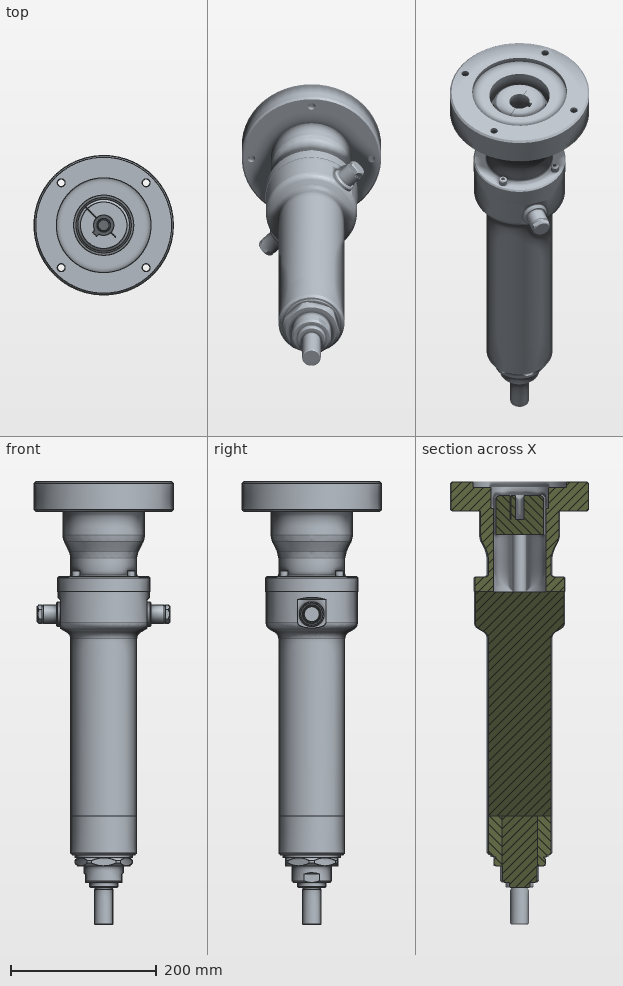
import cadquery as cq
import math


OVERALL_HEIGHT = 608.0
STUD_RELIEF_BOTTOM = 48.0
STUD_TOP = 51.0
ROD_STEP_BOTTOM = 58.0
CAP_BOTTOM = 80.0
HEX_TOP = 92.5
CAP_SHOULDER = 95.5
CAP_TOP = 149.0
SHOULDER_BOTTOM = 399.0
SHOULDER_TOP = 409.0
FITTING_LEVEL = 426.5
HEAD_TOP = 457.5
LANTERN_FOOT_TOP = 478.0
NECK_CONE_BOTTOM = 508.5
NECK_CONE_TOP = 530.5
FLANGE_BOTTOM = 567.5
HUB_BOTTOM = 535.0
BEARING_SHAFT_TOP = 556.5

FLANGE_DIAMETER = 191.5
FLANGE_CHAMFER = 2.5
NECK_DIAMETER = 112.0
TUBE_DIAMETER = 90.5
NECK_FILLET = 20.0
FOOT_DIAMETER = 126.5
FOOT_FILLET = 3.0
FOOT_CHAMFER = 2.0
PILOT_DIAMETER = 130.0
PILOT_DEPTH = 7.0
COUPLING_BORE_DIAMETER = 83.0
COUPLING_BORE_BOTTOM = 572.0
LOWER_BORE_DIAMETER = 76.0
FLANGE_HOLE_DIAMETER = 10.5
FLANGE_BOLT_CIRCLE = 165.0

SCREW_HEAD_DIAMETER = 11.0
SCREW_HEAD_HEIGHT = 8.5
SCREW_HEAD_CHAMFER = 1.0
SCREW_BOLT_CIRCLE = 107.0
SCREW_SOCKET_WIDTH = 5.0
SCREW_SOCKET_DEPTH = 4.0
BOLT_COUNT = 4
FIRST_BOLT_ANGLE = 45.0

HUB_DIAMETER = 71.0
HUB_TOP_CHAMFER = 3.5
HUB_TOP = OVERALL_HEIGHT - PILOT_DEPTH - 11.5
HUB_BORE_DIAMETER = 28.0
BEARING_SHAFT_DIAMETER = 19.0
BEARING_SHAFT_CHAMFER = 2.0
KEYWAY_WIDTH = 8.0
KEYWAY_REACH = 17.5
KEYWAY_ANGLE = 225.0
SLIT_WIDTH = 0.5
SLIT_ANGLE = 135.0
SLIT_FAR_REACH = 23.0

HEAD_DIAMETER = 125.0
SHOULDER_FILLET = 10.5
PAD_DISTANCE = 59.5
PAD_TOP = 446.5

COLLAR_DIAMETER = 34.0
COLLAR_CHAMFER = 2.0
COLLAR_END = 65.0
BARREL_DIAMETER = 25.5
GROOVE_DIAMETER = 24.0
GROOVE_START = 83.0
GROOVE_WIDTH = 2.0
FITTING_END = 91.0
FITTING_HEX_CHAMFER = 2.5

CAP_EDGE_CHAMFER = 3.0
CAP_HEX_FLATS = 72.0
CAP_HEX_RIM_DIAMETER = 79.0
CAP_HEX_CHAMFER = 4.0
CAP_HEX_ANGLE = 90.0

ROD_DIAMETER = 54.0
ROD_CHAMFER = 2.5
WRENCH_FLATS = 50.0
WRENCH_FLAT_TOP = 69.5
ROD_STEP_DIAMETER = 39.0
ROD_STEP_CHAMFER = 1.0
STUD_DIAMETER = 25.5
STUD_CHAMFER = 1.0
STUD_RELIEF_DIAMETER = 24.0


def cylinder(diameter, bottom, top):
    """Upright cylinder on the Z axis between two levels."""
    return cq.Workplane("XY").workplane(offset=bottom).circle(diameter / 2).extrude(top - bottom)


def cone_between(bottom_diameter, bottom, top_diameter, top):
    """Upright truncated cone on the Z axis between two levels."""
    profile = [(0, bottom), (bottom_diameter / 2, bottom), (top_diameter / 2, top), (0, top)]
    return cq.Workplane("XZ").polyline(profile).close().revolve(360, (0, 0), (0, 1))


def corner_points(circle_diameter):
    """The four diagonal places on a bolt circle."""
    angles = [math.radians(FIRST_BOLT_ANGLE + i * 360 / BOLT_COUNT) for i in range(BOLT_COUNT)]
    return [(circle_diameter / 2 * math.cos(a), circle_diameter / 2 * math.sin(a)) for a in angles]


def edges_at(body, level, diameter):
    """The full circle of the given diameter, centred on the Z axis at the given level."""
    tolerance = 0.05
    reach = diameter / 2 + tolerance
    selector = cq.selectors.BoxSelector(
        (-reach, -reach, level - tolerance), (reach, reach, level + tolerance), boundingbox=True
    )
    rings = body.edges(selector).edges("%CIRCLE").vals()
    return body.newObject([ring for ring in rings if abs(ring.radius() - diameter / 2) < tolerance])


def flat_cutter(distance, bottom, top, size):
    """Cutter for a flat facing +X at the given distance, running out at 45 degrees above its top."""
    profile = [
        (distance, bottom),
        (distance + size, bottom),
        (distance + size, top + size),
        (distance, top),
    ]
    return cq.Workplane("XZ").polyline(profile).close().extrude(size / 2, both=True)


def make_lantern():
    foot = cylinder(FOOT_DIAMETER, HEAD_TOP, LANTERN_FOOT_TOP)
    foot = foot.faces(">Z").edges().chamfer(FOOT_CHAMFER)
    lower_neck = cylinder(TUBE_DIAMETER, LANTERN_FOOT_TOP, NECK_CONE_BOTTOM)
    cone = cone_between(TUBE_DIAMETER, NECK_CONE_BOTTOM, NECK_DIAMETER, NECK_CONE_TOP)
    upper_neck = cylinder(NECK_DIAMETER, NECK_CONE_TOP, FLANGE_BOTTOM)
    flange = cylinder(FLANGE_DIAMETER, FLANGE_BOTTOM, OVERALL_HEIGHT)
    flange = flange.faces("<Z or >Z").edges().chamfer(FLANGE_CHAMFER)

    lantern = foot.union(lower_neck).union(cone).union(upper_neck).union(flange)
    lantern = edges_at(lantern, NECK_CONE_TOP, NECK_DIAMETER).fillet(NECK_FILLET)
    lantern = edges_at(lantern, NECK_CONE_BOTTOM, TUBE_DIAMETER).fillet(NECK_FILLET)
    lantern = edges_at(lantern, LANTERN_FOOT_TOP, TUBE_DIAMETER).fillet(FOOT_FILLET)

    lantern = lantern.cut(cylinder(PILOT_DIAMETER, OVERALL_HEIGHT - PILOT_DEPTH, OVERALL_HEIGHT))
    lantern = lantern.cut(cylinder(COUPLING_BORE_DIAMETER, COUPLING_BORE_BOTTOM, OVERALL_HEIGHT))
    lantern = lantern.cut(cylinder(LOWER_BORE_DIAMETER, HEAD_TOP, OVERALL_HEIGHT))

    flange_holes = (
        cq.Workplane("XY")
        .workplane(offset=FLANGE_BOTTOM)
        .pushPoints(corner_points(FLANGE_BOLT_CIRCLE))
        .circle(FLANGE_HOLE_DIAMETER / 2)
        .extrude(OVERALL_HEIGHT - FLANGE_BOTTOM)
    )
    return lantern.cut(flange_holes).union(make_screw_heads())


def make_screw_heads():
    """Socket screw heads standing on the lantern foot."""
    places = corner_points(SCREW_BOLT_CIRCLE)
    head_top = LANTERN_FOOT_TOP + SCREW_HEAD_HEIGHT
    heads = (
        cq.Workplane("XY")
        .workplane(offset=LANTERN_FOOT_TOP)
        .pushPoints(places)
        .circle(SCREW_HEAD_DIAMETER / 2)
        .extrude(SCREW_HEAD_HEIGHT)
        .faces(">Z")
        .edges()
        .chamfer(SCREW_HEAD_CHAMFER)
    )
    sockets = (
        cq.Workplane("XY")
        .workplane(offset=head_top)
        .pushPoints(places)
        .polygon(6, SCREW_SOCKET_WIDTH, circumscribed=True)
        .extrude(-SCREW_SOCKET_DEPTH)
    )
    return heads.cut(sockets)


def radial_cut(start, end, width, bottom, angle):
    """Upright block from one radius to another, turned to the given angle about Z."""
    block = cq.Workplane("XY").box(end - start, width, HUB_TOP - bottom, centered=(False, True, False))
    return block.translate((start, 0, bottom)).rotate((0, 0, 0), (0, 0, 1), angle)


def make_hub():
    hub = cylinder(HUB_DIAMETER, HUB_BOTTOM, HUB_TOP).faces(">Z").edges().chamfer(HUB_TOP_CHAMFER)
    hub = hub.cut(cylinder(BEARING_SHAFT_DIAMETER, HUB_BOTTOM, HUB_TOP))
    hub = hub.cut(cylinder(HUB_BORE_DIAMETER, BEARING_SHAFT_TOP, HUB_TOP))
    keyway = radial_cut(0, KEYWAY_REACH, KEYWAY_WIDTH, BEARING_SHAFT_TOP, KEYWAY_ANGLE)
    slit = radial_cut(-SLIT_FAR_REACH, HUB_DIAMETER / 2, SLIT_WIDTH, BEARING_SHAFT_TOP, SLIT_ANGLE)
    return hub.cut(keyway).cut(slit)


def make_housing():
    tube = cylinder(TUBE_DIAMETER, CAP_TOP, SHOULDER_BOTTOM)
    shoulder = cone_between(TUBE_DIAMETER, SHOULDER_BOTTOM, HEAD_DIAMETER, SHOULDER_TOP)
    head = cylinder(HEAD_DIAMETER, SHOULDER_TOP, HEAD_TOP)
    housing = tube.union(shoulder).union(head)
    housing = edges_at(housing, SHOULDER_TOP, HEAD_DIAMETER).fillet(SHOULDER_FILLET)
    housing = edges_at(housing, SHOULDER_BOTTOM, TUBE_DIAMETER).fillet(SHOULDER_FILLET)

    bearing_shaft = cylinder(BEARING_SHAFT_DIAMETER, HEAD_TOP, BEARING_SHAFT_TOP)
    housing = housing.union(bearing_shaft.faces(">Z").edges().chamfer(BEARING_SHAFT_CHAMFER))
    for angle in (0, 180):
        pad_cut = make_pad_cut().rotate((0, 0, 0), (0, 0, 1), angle)
        fitting = make_fitting().rotate((0, 0, 0), (0, 0, 1), angle)
        housing = housing.cut(pad_cut).union(fitting)
    return housing


def make_pad_cut():
    """Cutter for the flat fitting pad on the +X side of the head."""
    return flat_cutter(PAD_DISTANCE, SHOULDER_BOTTOM, PAD_TOP, HEAD_DIAMETER)


def make_fitting():
    """Collar, barrel, groove and hexagon cap pointing along +X."""
    base = cq.Workplane("YZ", origin=(0, 0, FITTING_LEVEL))
    root = TUBE_DIAMETER / 2
    hex_start = GROOVE_START + GROOVE_WIDTH
    collar = base.workplane(offset=root).circle(COLLAR_DIAMETER / 2).extrude(COLLAR_END - root)
    barrel = base.workplane(offset=root).circle(BARREL_DIAMETER / 2).extrude(GROOVE_START - root)
    groove = base.workplane(offset=root).circle(GROOVE_DIAMETER / 2).extrude(hex_start - root)
    cap = base.workplane(offset=hex_start).polygon(6, BARREL_DIAMETER).extrude(FITTING_END - hex_start)
    cap = cap.rotate((0, 0, FITTING_LEVEL), (1, 0, FITTING_LEVEL), 90)
    rounding = base.workplane(offset=hex_start).circle(BARREL_DIAMETER / 2).extrude(FITTING_END - hex_start)
    cap = cap.intersect(rounding.faces(">X").edges().chamfer(FITTING_HEX_CHAMFER))
    collar = collar.faces(">X").edges().chamfer(COLLAR_CHAMFER)
    return collar.union(barrel).union(groove).union(cap)


def make_front_cap():
    barrel = cylinder(TUBE_DIAMETER, CAP_SHOULDER, CAP_TOP).faces("<Z").edges().chamfer(CAP_EDGE_CHAMFER)
    rim = cylinder(CAP_HEX_RIM_DIAMETER, HEX_TOP, CAP_SHOULDER)
    hexagon = (
        cq.Workplane("XY")
        .workplane(offset=CAP_BOTTOM)
        .polygon(6, CAP_HEX_FLATS, circumscribed=True)
        .extrude(HEX_TOP - CAP_BOTTOM)
        .rotate((0, 0, 0), (0, 0, 1), CAP_HEX_ANGLE)
    )
    rounding = cylinder(CAP_HEX_RIM_DIAMETER, CAP_BOTTOM, HEX_TOP)
    hexagon = hexagon.intersect(rounding.faces("<Z or >Z").edges().chamfer(CAP_HEX_CHAMFER))
    cap = barrel.union(rim).union(hexagon)
    return cap.cut(cylinder(ROD_DIAMETER, CAP_BOTTOM, CAP_TOP))


def make_rod():
    rod = cylinder(ROD_DIAMETER, ROD_STEP_BOTTOM, CAP_TOP).faces("<Z").edges().chamfer(ROD_CHAMFER)
    flat = flat_cutter(WRENCH_FLATS / 2, ROD_STEP_BOTTOM, WRENCH_FLAT_TOP, ROD_DIAMETER)
    for angle in (0, 180):
        rod = rod.cut(flat.rotate((0, 0, 0), (0, 0, 1), angle))
    step = cylinder(ROD_STEP_DIAMETER, STUD_TOP, ROD_STEP_BOTTOM)
    step = step.faces("<Z").edges().chamfer(ROD_STEP_CHAMFER)
    stud = cylinder(STUD_DIAMETER, 0, STUD_RELIEF_BOTTOM).faces("<Z").edges().chamfer(STUD_CHAMFER)
    relief = cylinder(STUD_RELIEF_DIAMETER, STUD_RELIEF_BOTTOM, STUD_TOP)
    return rod.union(step).union(stud).union(relief)


lantern = make_lantern()
hub = make_hub()
housing = make_housing()
front_cap = make_front_cap()
rod = make_rod()

result = cq.Compound.makeCompound(
    [lantern.val(), hub.val(), housing.val(), front_cap.val(), rod.val()]
)